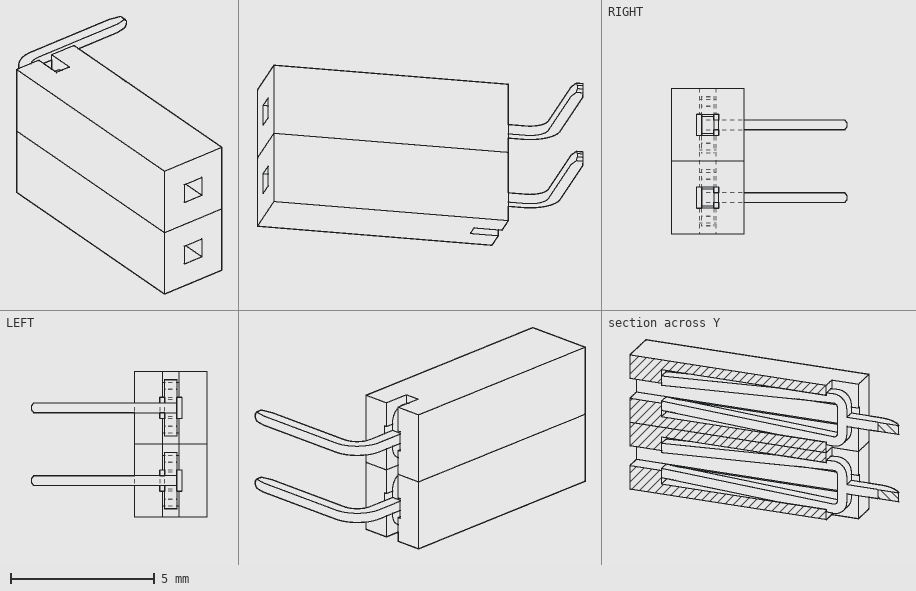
import cadquery as cq
import math


total_length = 10.35
total_width = 6.14
total_height = 5.08
housing_count = 2

pitch = total_height / housing_count
housing_side = pitch
housing_length = 8.4
slot_depth = 1.0
slot_width = 0.57
pocket_height = 1.76
pocket_depth = 6.21
pin_hole_width = 0.77
pin_hole_height = 0.73

pin_width = 0.42
pin_thickness = 0.35
bend_outer_radius = 1.08
bend_inner_radius = bend_outer_radius - pin_width
tip_length = 0.51
tip_width = 0.21
tip_chamfer_length = 0.11
tip_chamfer_height = 0.08
fork_setback = 0.24
fork_height = 1.98
fork_outer_radius = 0.5
fork_thickness = pin_thickness
arm_slope = math.radians(3)

pin_outer_x = housing_length - total_length
tip_y = total_width - housing_side / 2
fork_end_x = slot_depth + pocket_depth


def box_along_x(start_x, end_x, width, height):
    """Box between two X positions, centred on the X axis."""
    box = cq.Workplane("XY").box(end_x - start_x, width, height, centered=(False, True, True))
    return box.translate((start_x, 0, 0))


def make_pin():
    """Flat pin that leaves the fork, bends to +Y and ends in a tapered tip."""
    half_width = pin_width / 2
    bend_x = pin_outer_x + bend_outer_radius
    bend_y = bend_outer_radius - half_width
    pin_inner_x = pin_outer_x + pin_width
    pin_middle_x = pin_outer_x + half_width
    taper_y = tip_y - tip_length
    pin = (
        cq.Workplane("XY")
        .workplane(offset=-pin_thickness / 2)
        .moveTo(fork_setback, -half_width)
        .lineTo(bend_x, -half_width)
        .radiusArc((pin_outer_x, bend_y), bend_outer_radius)
        .lineTo(pin_outer_x, taper_y)
        .lineTo(pin_middle_x - tip_width / 2, tip_y)
        .lineTo(pin_middle_x + tip_width / 2, tip_y)
        .lineTo(pin_inner_x, taper_y)
        .lineTo(pin_inner_x, bend_y)
        .radiusArc((bend_x, half_width), -bend_inner_radius)
        .lineTo(fork_setback, half_width)
        .close()
        .extrude(pin_thickness)
    )
    return chamfer_tip(pin)


def chamfer_tip(pin):
    """Bevel the upper and lower edges of the pin's end face with a shallow, stretched chamfer."""
    tip_edges = pin.faces(">Y").edges("|X").vals()
    return cq.Workplane(pin.val().chamfer(tip_chamfer_length, tip_chamfer_height, tip_edges))


def fork_outline(inset):
    """Solid U shape: flat back, two corner arcs and sides that converge until the end of the fork."""
    radius = fork_outer_radius - inset
    back_x = fork_setback + inset
    centre_x = fork_setback + fork_outer_radius
    centre_z = fork_height / 2 - fork_outer_radius
    mid_turn = (math.pi / 2 + arm_slope) / 2
    mid_x = centre_x - radius * math.cos(mid_turn)
    mid_z = centre_z + radius * math.sin(mid_turn)
    side_x = centre_x + radius * math.sin(arm_slope)
    side_z = centre_z + radius * math.cos(arm_slope)
    end_z = side_z - (fork_end_x - side_x) * math.tan(arm_slope)
    return (
        cq.Workplane("XZ")
        .moveTo(back_x, -centre_z)
        .lineTo(back_x, centre_z)
        .threePointArc((mid_x, mid_z), (side_x, side_z))
        .lineTo(fork_end_x, end_z)
        .lineTo(fork_end_x, -end_z)
        .lineTo(side_x, -side_z)
        .threePointArc((mid_x, -mid_z), (back_x, -centre_z))
        .close()
        .extrude(pin_width / 2, both=True)
    )


def make_fork():
    """U-shaped strip whose two slightly converging arms run along +X into the housing."""
    return fork_outline(0).cut(fork_outline(fork_thickness))


def make_contact():
    """One pin and fork in a single piece."""
    return make_pin().union(make_fork())


def make_housing():
    """Square block with a rear slot, a pocket and seat for the fork, and a through hole for the mating pin."""
    housing = box_along_x(0, housing_length, housing_side, housing_side)
    slot = box_along_x(0, slot_depth, slot_width, housing_side)
    pocket = box_along_x(slot_depth, fork_end_x, slot_width, pocket_height)
    pin_hole = box_along_x(0, housing_length, pin_hole_width, pin_hole_height)
    return housing.cut(slot).cut(pocket).cut(fork_outline(0)).cut(pin_hole)


bodies = []
for index in range(housing_count):
    position = (0, 0, (index - (housing_count - 1) / 2) * pitch)
    bodies.append(make_housing().translate(position).val())
    bodies.append(make_contact().translate(position).val())

result = cq.Compound.makeCompound(bodies)